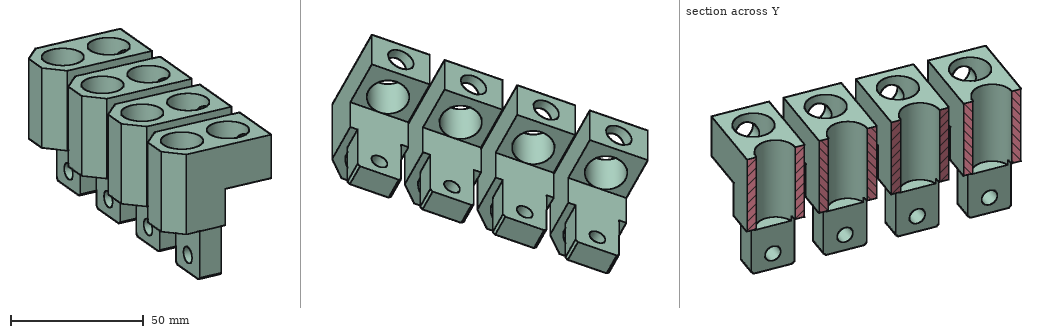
import cadquery as cq

block_count = 4
block_width = 24.0
block_pitch = 30.0

block_length = 44.0
leg_length = 24.0
leg_height = 33.0
arm_height = 18.0
corner_chamfer = 7.0

bore_diameter = 16.0
leg_bore_y = leg_length / 2
bore_spacing = 20.0
arm_bore_y = leg_bore_y + bore_spacing
leg_bore_depth = 35.0

total_height = 54.75
tab_width = 18.0
tab_thickness = 9.5
tab_corner_chamfer = 1.0
tab_hole_diameter = 6.5
tab_hole_from_end = 7.0

screw_hole_diameter = 10.5
screw_hole_z = -arm_height / 2

block_center_x = block_width / 2
tab_front_y = leg_length - tab_thickness


def block_body():
    """L-shaped body, top face at Z = 0, with both front vertical edges chamfered."""
    leg = (
        cq.Workplane("XY")
        .box(block_width, leg_length, leg_height, centered=False)
        .translate((0, 0, -leg_height))
        .edges("|Z and <Y")
        .chamfer(corner_chamfer)
    )
    arm = (
        cq.Workplane("XY")
        .box(block_width, block_length - leg_length, arm_height, centered=False)
        .translate((0, leg_length, -arm_height))
    )
    return leg.union(arm)


def connection_tab():
    """Flat tab, flush with the back of the leg, with small chamfers at its free end."""
    tab_length = total_height - leg_height
    return (
        cq.Workplane("XY")
        .box(tab_width, tab_thickness, tab_length, centered=False)
        .translate((block_center_x - tab_width / 2, tab_front_y, -total_height))
        .edges("|Y and <Z")
        .chamfer(tab_corner_chamfer)
    )


def vertical_bore(y, depth):
    return (
        cq.Workplane("XY")
        .center(block_center_x, y)
        .circle(bore_diameter / 2)
        .extrude(-depth)
    )


def hole_along_y(diameter, z, y_start, y_end):
    return (
        cq.Workplane("XZ", origin=(block_center_x, y_start, z))
        .circle(diameter / 2)
        .extrude(y_start - y_end)
    )


def terminal_block():
    tab_hole_z = tab_hole_from_end - total_height
    return (
        block_body()
        .union(connection_tab())
        .cut(vertical_bore(leg_bore_y, leg_bore_depth))
        .cut(vertical_bore(arm_bore_y, arm_height))
        .cut(hole_along_y(tab_hole_diameter, tab_hole_z, tab_front_y, leg_length))
        .cut(hole_along_y(screw_hole_diameter, screw_hole_z, arm_bore_y, block_length))
    )


terminal_blocks = []
for index in range(block_count):
    terminal_blocks.append(terminal_block().translate((index * block_pitch, 0, 0)))

result = cq.Compound.makeCompound([block.val() for block in terminal_blocks])